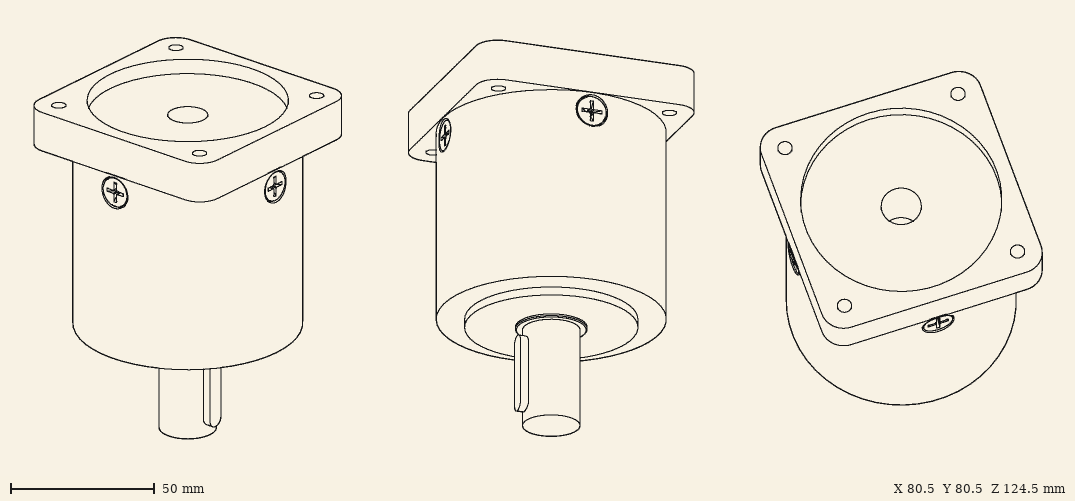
import cadquery as cq

total_height = 124.5
flange_side = 80.5

flange_thickness = 14.7
flange_corner_radius = 8.0
flange_hole_diameter = 5.0
flange_hole_spacing = 63.6
pilot_diameter = 70.0
pilot_depth = 5.5
input_bore_diameter = 14.0
input_bore_depth = 24.9

body_diameter = 80.0
body_bottom = 39.8
spigot_diameter = 60.3
spigot_height = 3.0
collar_diameter = 25.0
collar_height = 1.0
collar_chamfer = 0.4
shaft_diameter = 20.0

key_width = 6.0
key_top_x = 12.6
key_lower_end = 3.9
key_length = 28.1

plug_count = 4
plug_center_z = 103.1
plug_hole_diameter = 11.7
plug_head_diameter = 10.7
plug_face_inset = 0.5
plug_hole_depth = 1.5
cross_length = 7.5
cross_slot_width = 1.1
cross_center_diameter = 2.0
cross_depth = 2.7

plug_face_radius = body_diameter / 2 - plug_face_inset
flange_bottom = total_height - flange_thickness
pilot_floor = total_height - pilot_depth
spigot_bottom = body_bottom - spigot_height
collar_bottom = spigot_bottom - collar_height


def disc(diameter, bottom, top):
    """Cylinder about the Z axis between two heights."""
    return cq.Workplane("XY").workplane(offset=bottom).circle(diameter / 2).extrude(top - bottom)


def make_flange():
    plate = (
        cq.Workplane("XY")
        .workplane(offset=flange_bottom)
        .rect(flange_side, flange_side)
        .extrude(flange_thickness)
        .edges("|Z")
        .fillet(flange_corner_radius)
    )
    return (
        plate.faces(">Z")
        .workplane()
        .rect(flange_hole_spacing, flange_hole_spacing, forConstruction=True)
        .vertices()
        .hole(flange_hole_diameter)
    )


def make_key():
    return (
        cq.Workplane("YZ")
        .center(0, key_lower_end + key_length / 2)
        .slot2D(key_length, key_width, 90)
        .extrude(key_top_x)
    )


def radial_plane(x):
    """Workplane facing +X at the plug height."""
    return cq.Workplane("YZ", origin=(x, 0, plug_center_z))


def make_cross_recess():
    """Cross-head recess whose arm floors slope down to a round flat bottom."""
    bottom = radial_plane(plug_face_radius - cross_depth)
    center = bottom.circle(cross_center_diameter / 2).extrude(cross_depth)
    arm_pair = (
        cq.Workplane("XY", origin=(plug_face_radius, 0, plug_center_z))
        .polyline([
            (0, -cross_length / 2),
            (-cross_depth, -cross_center_diameter / 2),
            (-cross_depth, cross_center_diameter / 2),
            (0, cross_length / 2),
        ])
        .close()
        .extrude(cross_slot_width / 2, both=True)
    )
    crossing_pair = arm_pair.rotate((0, 0, plug_center_z), (1, 0, plug_center_z), 90)
    return center.union(arm_pair).union(crossing_pair)


def make_plug_cut():
    """Material removed around and in one plug head on the +X side."""
    floor_x = body_diameter / 2 - plug_hole_depth
    hole = radial_plane(floor_x).circle(plug_hole_diameter / 2).extrude(2 * plug_hole_depth)
    head = radial_plane(floor_x).circle(plug_head_diameter / 2).extrude(plug_face_radius - floor_x)
    return hole.cut(head).union(make_cross_recess())


collar = disc(collar_diameter, collar_bottom, spigot_bottom).faces("<Z").chamfer(collar_chamfer)

result = (
    make_flange()
    .union(disc(body_diameter, body_bottom, flange_bottom))
    .union(disc(spigot_diameter, spigot_bottom, body_bottom))
    .union(collar)
    .union(disc(shaft_diameter, 0, collar_bottom))
    .union(make_key())
)

result = result.cut(disc(pilot_diameter, pilot_floor, total_height))
result = result.cut(disc(input_bore_diameter, pilot_floor - input_bore_depth, pilot_floor))

plug_cut = make_plug_cut()
for index in range(plug_count):
    angle = index * 360 / plug_count
    result = result.cut(plug_cut.rotate((0, 0, 0), (0, 0, 1), angle))